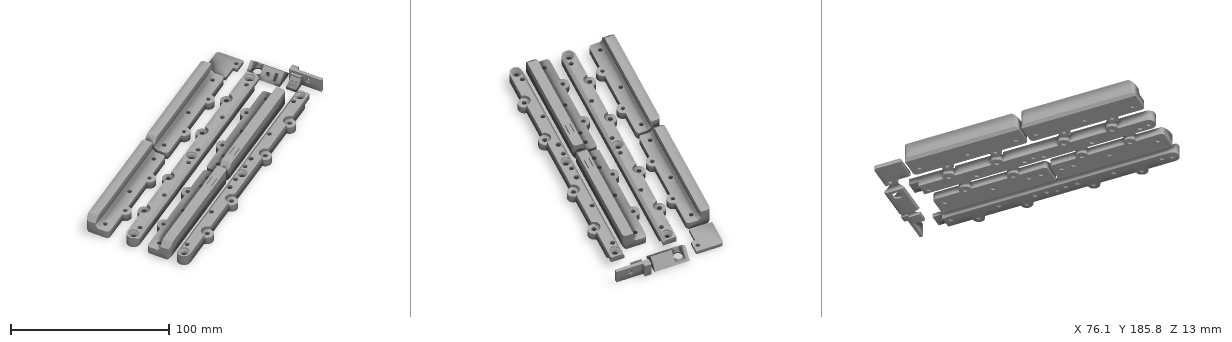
import cadquery as cq
ROW_PITCH = 33.5

RAIL_LENGTH = 79.1
RAIL_WIDTH = 16.3
RAIL_PITCH = 81.2
RAIL_MIRROR_SPAN = 59.8
RIB_WIDTH = 6.9
RIB_HEIGHT = 13.0
LEDGE_HEIGHT = 5.5
STEP_SLOPE = 1.9
RIB_END_CHAMFER = 3.9
RAIL_CORNER_RADIUS = 2.2
RAIL_BOTTOM_CHAMFER = 1.9
RAIL_HOLE_X = 10.8
RAIL_HOLE_DIAMETER = 3.0
EAR_RADIUS = 4.0
EAR_HOLE_DIAMETER = 2.8
EXTRA_OFFSET = 25.0
SLIT_LENGTH = 7.6
SLIT_WIDTH = 0.5
SLIT_DEPTH = 1.9
SLIT_SPACING = 3.3

BAR_X = 27.1
BAR_WIDTH = 9.1
BAR_HEIGHT = 7.8
BAR_CHAMFER = 1.9
BAR_MIRROR_SPAN = 99.2
BAR_SPAN = 80.0
BAR_HOLE_X = 5.8
BAR_HOLE_DIAMETER = 3.2
BOSS_RADIUS = 4.0
BOSS_HEIGHT = 5.5
BOSS_HOLE_DIAMETER = 3.2
SINK_DIAMETER = 6.9
SINK_BORE = 2.8
SINK_RECESS = 0.7
CABLE_HOLE_DIAMETER = 3.5
CABLE_HOLE_OFFSET = 14.7
LAP_LENGTH = 6.7
LAP_HEIGHT = 3.3

PLATE_SIZE = 18.8
PLATE_Y = 162.7
PLATE_THICKNESS = 2.8
PLATE_CORNER_RADIUS = 2.0
TAB_WIDTH = 3.0
TAB_LENGTH = 8.7
PLATE_HOLE_X = 16.0
PLATE_HOLE_Y = 177.0
PLATE_HOLE_DIAMETER = 2.8

RIDGE_X = 25.0
RIDGE_LENGTH = 23.8
RIDGE_Y = 171.6
RIDGE_WIDTH = 14.1
RIDGE_EDGE_HEIGHT = 1.3
RIDGE_HEIGHT = RIDGE_EDGE_HEIGHT + RIDGE_WIDTH / 2
WELL_X = 2.2
WELL_WIDTH = 7.2
WELL_FLOOR = 1.3
WELL_FLOOR_NEAR = 3.2
WELL_FLOOR_FAR = 11.5
WELL_HOLE_X = 5.2
WELL_HOLE_Y = 7.0
WELL_HOLE_DIAMETER = 6.1
ROOF_HOLE_X = 14.1
ROOF_HOLE_DIAMETER = 3.0
ROOF_HOLE_Y = 3.7
ROOF_SLOT_X = 19.7
ROOF_SLOT_WIDTH = 2.5
ROOF_SLOT_LENGTH = 5.5
ROOF_SLOT_Y = 3.5
ROOF_CUT_DEPTH = 4.0

BLADE_X = 51.3
BLADE_Y = 181.1
BLADE_LENGTH = 23.0
BLADE_THICKNESS = 2.2
BLADE_HEIGHT = 10.0
BLADE_HOLE_X = 13.4
BLADE_HOLE_Z = 5.4
BLADE_HOLE_DIAMETER = 3.2
POST_WIDTH = 4.6
POST_DEPTH = 2.5
FOOT_X = 1.9
FOOT_WIDTH = 7.2
FOOT_REACH = 7.8
FOOT_HEIGHT = 7.8
FOOT_TOP = 1.5
FOOT_LIP = 2.2
FOOT_LIP_HEIGHT = 2.2
PIN_HOLE_DIAMETER = 1.0
PIN_HOLE_SPACING = 2.6
PIN_HOLE_DEPTH = 1.9


def cylinder(x, y, diameter, height):
    return cq.Workplane("XY").center(x, y).circle(diameter / 2).extrude(height)


def box(x, y, z, length, width, height):
    return cq.Workplane("XY").box(length, width, height, centered=False).translate((x, y, z))


def mirror_in_x(body, span):
    return body.mirror("YZ").translate((span, 0, 0))


def left_rail():
    profile = [
        (0, 0),
        (RAIL_WIDTH, 0),
        (RAIL_WIDTH, LEDGE_HEIGHT),
        (RIB_WIDTH + STEP_SLOPE, LEDGE_HEIGHT),
        (RIB_WIDTH, LEDGE_HEIGHT + STEP_SLOPE),
        (RIB_WIDTH, RIB_HEIGHT),
        (0, RIB_HEIGHT),
    ]
    rail = cq.Workplane("XZ").polyline(profile).close().extrude(-RAIL_LENGTH)
    rail = rail.edges("|Z and (<X or >X)").fillet(RAIL_CORNER_RADIUS)
    end_wedge = (
        cq.Workplane("YZ")
        .moveTo(0, RIB_HEIGHT - RIB_END_CHAMFER)
        .lineTo(RIB_END_CHAMFER, RIB_HEIGHT)
        .lineTo(0, RIB_HEIGHT)
        .close()
        .extrude(RAIL_WIDTH)
    )
    bottom_wedge = (
        cq.Workplane("XZ")
        .lineTo(RAIL_BOTTOM_CHAMFER, 0)
        .lineTo(0, RAIL_BOTTOM_CHAMFER)
        .close()
        .extrude(-RAIL_LENGTH)
    )
    rail = rail.cut(end_wedge).cut(bottom_wedge)
    middle = RAIL_LENGTH / 2
    for side in (-0.5, 0.5):
        rail = rail.union(cylinder(RAIL_WIDTH, middle + side * ROW_PITCH, 2 * EAR_RADIUS, LEDGE_HEIGHT))
    for side in (-0.5, 0.5):
        rail = rail.cut(cylinder(RAIL_WIDTH, middle + side * ROW_PITCH, EAR_HOLE_DIAMETER, LEDGE_HEIGHT))
    for row in (-1, 0, 1):
        rail = rail.cut(cylinder(RAIL_HOLE_X, middle + row * ROW_PITCH, RAIL_HOLE_DIAMETER, RIB_HEIGHT))
    return rail


def right_rail(extra_offset):
    rail = left_rail()
    extra_y = RAIL_LENGTH / 2 + extra_offset
    rail = rail.cut(cylinder(RAIL_HOLE_X, extra_y, RAIL_HOLE_DIAMETER, RIB_HEIGHT))
    for side in (-0.5, 0.5):
        slit_x = RIB_WIDTH / 2 + side * SLIT_SPACING - SLIT_WIDTH / 2
        slit_y = extra_y - SLIT_LENGTH / 2
        rail = rail.cut(
            box(slit_x, slit_y, RIB_HEIGHT - SLIT_DEPTH, SLIT_WIDTH, SLIT_LENGTH, SLIT_DEPTH)
        )
    return mirror_in_x(rail, RAIL_MIRROR_SPAN)


def screw_sink(x, y):
    head_radius = SINK_DIAMETER / 2
    bore_radius = SINK_BORE / 2
    cone_top = BAR_HEIGHT - SINK_RECESS
    half_section = [
        (0, 0),
        (bore_radius, 0),
        (bore_radius, cone_top - (head_radius - bore_radius)),
        (head_radius, cone_top),
        (head_radius, BAR_HEIGHT),
        (0, BAR_HEIGHT),
    ]
    sink = cq.Workplane("XZ").polyline(half_section).close().revolve(360, (0, 0), (0, 1))
    return sink.translate((x, y, 0))


def left_bar():
    end_radius = BAR_WIDTH / 2
    length = 2 * BAR_SPAN + 2 * end_radius
    middle_x = BAR_X + end_radius
    bar = box(BAR_X, end_radius, 0, BAR_WIDTH, length - end_radius, BAR_HEIGHT)
    bar = bar.union(cylinder(middle_x, end_radius, BAR_WIDTH, BAR_HEIGHT))
    wedge = (
        cq.Workplane("XZ")
        .moveTo(BAR_X + BAR_WIDTH, BAR_HEIGHT)
        .lineTo(BAR_X + BAR_WIDTH - BAR_CHAMFER, BAR_HEIGHT)
        .lineTo(BAR_X + BAR_WIDTH, BAR_HEIGHT - BAR_CHAMFER)
        .close()
        .extrude(-length)
    )
    bar = bar.cut(wedge)
    bar = bar.cut(box(BAR_X, length - LAP_LENGTH, 0, BAR_WIDTH, LAP_LENGTH, LAP_HEIGHT))
    for span in range(2):
        middle = end_radius + (span + 0.5) * BAR_SPAN
        for side in (-0.5, 0.5):
            boss_y = middle + side * ROW_PITCH
            bar = bar.cut(cylinder(BAR_X, boss_y, 2 * BOSS_RADIUS, BAR_HEIGHT))
            bar = bar.union(cylinder(BAR_X, boss_y, 2 * BOSS_RADIUS, BOSS_HEIGHT))
            bar = bar.cut(cylinder(BAR_X, boss_y, BOSS_HOLE_DIAMETER, BOSS_HEIGHT))
        for row in (-1, 0, 1):
            hole_y = middle + row * ROW_PITCH
            bar = bar.cut(cylinder(BAR_X + BAR_HOLE_X, hole_y, BAR_HOLE_DIAMETER, BAR_HEIGHT))
    for index in range(3):
        bar = bar.cut(screw_sink(middle_x, end_radius + index * BAR_SPAN))
    return bar


def right_bar():
    bar = left_bar()
    middle = BAR_WIDTH / 2 + BAR_SPAN
    for side in (-1, 1):
        hole_y = middle + side * CABLE_HOLE_OFFSET
        bar = bar.cut(cylinder(BAR_X + BAR_HOLE_X, hole_y, CABLE_HOLE_DIAMETER, BAR_HEIGHT))
    return mirror_in_x(bar, BAR_MIRROR_SPAN)


def corner_plate():
    plate = box(0, PLATE_Y, 0, PLATE_SIZE, PLATE_SIZE, PLATE_THICKNESS)
    plate = plate.edges("|Z and <X and >Y").fillet(PLATE_CORNER_RADIUS)
    notch_length = PLATE_SIZE - TAB_LENGTH
    plate = plate.cut(
        box(PLATE_SIZE - TAB_WIDTH, PLATE_Y, 0, TAB_WIDTH, notch_length, PLATE_THICKNESS)
    )
    return plate.cut(cylinder(PLATE_HOLE_X, PLATE_HOLE_Y, PLATE_HOLE_DIAMETER, PLATE_THICKNESS))


def roof_plane(x, y):
    """Plane on the near roof slope at X offset x and Y offset y, with its normal out of the slope."""
    return cq.Plane(origin=(x, y, RIDGE_EDGE_HEIGHT + y), xDir=(1, 0, 0), normal=(0, -1, 1))


def ridge_block():
    profile = [
        (RIDGE_EDGE_HEIGHT, 0),
        (RIDGE_WIDTH - RIDGE_EDGE_HEIGHT, 0),
        (RIDGE_WIDTH, RIDGE_EDGE_HEIGHT),
        (RIDGE_WIDTH / 2, RIDGE_HEIGHT),
        (0, RIDGE_EDGE_HEIGHT),
    ]
    block = cq.Workplane("YZ").polyline(profile).close().extrude(RIDGE_LENGTH)
    well_depth = RIDGE_HEIGHT - WELL_FLOOR
    well_profile = [
        (WELL_FLOOR_NEAR, WELL_FLOOR),
        (WELL_FLOOR_FAR, WELL_FLOOR),
        (WELL_FLOOR_FAR + well_depth, RIDGE_HEIGHT),
        (WELL_FLOOR_NEAR - well_depth, RIDGE_HEIGHT),
    ]
    well = cq.Workplane("YZ", origin=(WELL_X, 0, 0)).polyline(well_profile).close().extrude(WELL_WIDTH)
    block = block.cut(well)
    block = block.cut(cylinder(WELL_HOLE_X, WELL_HOLE_Y, WELL_HOLE_DIAMETER, RIDGE_HEIGHT))
    roof_hole = (
        cq.Workplane(roof_plane(ROOF_HOLE_X, ROOF_HOLE_Y))
        .circle(ROOF_HOLE_DIAMETER / 2)
        .extrude(-ROOF_CUT_DEPTH)
    )
    roof_slot = (
        cq.Workplane(roof_plane(ROOF_SLOT_X, ROOF_SLOT_Y))
        .rect(ROOF_SLOT_WIDTH, ROOF_SLOT_LENGTH)
        .extrude(-ROOF_CUT_DEPTH)
    )
    return block.cut(roof_hole).cut(roof_slot).translate((RIDGE_X, RIDGE_Y, 0))


def bracket():
    blade = box(0, 0, 0, BLADE_LENGTH, BLADE_THICKNESS, BLADE_HEIGHT)
    post = box(0, BLADE_THICKNESS, 0, POST_WIDTH, POST_DEPTH, BLADE_HEIGHT)
    slope_run = FOOT_REACH - FOOT_LIP - FOOT_TOP
    foot_profile = [
        (0, 0),
        (0, FOOT_HEIGHT),
        (-FOOT_TOP, FOOT_HEIGHT),
        (-FOOT_TOP, FOOT_LIP_HEIGHT + slope_run),
        (FOOT_LIP - FOOT_REACH, FOOT_LIP_HEIGHT),
        (-FOOT_REACH, FOOT_LIP_HEIGHT),
        (-FOOT_REACH, 0),
    ]
    foot = cq.Workplane("YZ", origin=(FOOT_X, 0, 0)).polyline(foot_profile).close().extrude(FOOT_WIDTH)
    body = blade.union(post).union(foot)
    blade_hole = (
        cq.Workplane("XZ", origin=(BLADE_HOLE_X, 0, BLADE_HOLE_Z))
        .circle(BLADE_HOLE_DIAMETER / 2)
        .extrude(-BLADE_THICKNESS)
    )
    body = body.cut(blade_hole)
    slope_middle = (
        FOOT_X + FOOT_WIDTH / 2,
        -FOOT_TOP - slope_run / 2,
        FOOT_LIP_HEIGHT + slope_run / 2,
    )
    slope = cq.Plane(origin=slope_middle, xDir=(1, 0, 0), normal=(0, -1, 1))
    pin_holes = (
        cq.Workplane(slope)
        .rarray(PIN_HOLE_SPACING, 1.9, 2, 1)
        .circle(PIN_HOLE_DIAMETER / 2)
        .extrude(-PIN_HOLE_DEPTH)
    )
    return body.cut(pin_holes).translate((BLADE_X, BLADE_Y, 0))


left_rails = [left_rail().translate((0, index * RAIL_PITCH, 0)) for index in range(2)]
right_rails = [
    right_rail(offset).translate((0, index * RAIL_PITCH, 0))
    for index, offset in enumerate((EXTRA_OFFSET, -EXTRA_OFFSET))
]
bodies = left_rails + right_rails + [left_bar(), right_bar(), corner_plate(), ridge_block(), bracket()]
result = cq.Compound.makeCompound([body.val() for body in bodies])